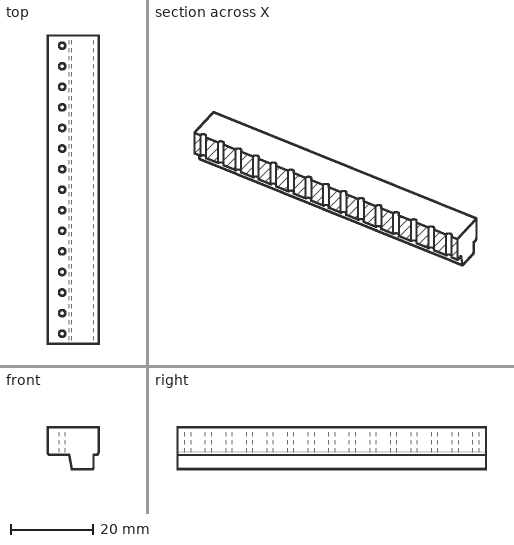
import cadquery as cq

LENGTH = 75.0
WIDTH = 12.4
HEIGHT = 10.3

BODY_HEIGHT = 6.8
LEFT_CORNER_RADIUS = 0.5
RIGHT_CORNER_RADIUS = 0.7

FOOT_ROOT_LEFT = 5.2
FOOT_TIP_LEFT = 5.83
FOOT_RIGHT = 11.15
FOOT_CORNER_RADIUS = 0.5

HOLE_COUNT = 15
HOLE_PITCH = LENGTH / HOLE_COUNT
HOLE_DIAMETER = 1.5
HOLE_X = 3.5


def make_bar():
    """Constant cross-section: a wide body above a foot with a sloped left flank."""
    shelf_z = HEIGHT - BODY_HEIGHT
    return (
        cq.Workplane("XZ")
        .moveTo(0, HEIGHT)
        .lineTo(0, shelf_z + LEFT_CORNER_RADIUS)
        .radiusArc((LEFT_CORNER_RADIUS, shelf_z), -LEFT_CORNER_RADIUS)
        .lineTo(FOOT_ROOT_LEFT, shelf_z)
        .lineTo(FOOT_TIP_LEFT, 0)
        .lineTo(FOOT_RIGHT - FOOT_CORNER_RADIUS, 0)
        .radiusArc((FOOT_RIGHT, FOOT_CORNER_RADIUS), -FOOT_CORNER_RADIUS)
        .lineTo(FOOT_RIGHT, shelf_z)
        .lineTo(WIDTH - RIGHT_CORNER_RADIUS, shelf_z)
        .radiusArc((WIDTH, shelf_z + RIGHT_CORNER_RADIUS), -RIGHT_CORNER_RADIUS)
        .lineTo(WIDTH, HEIGHT)
        .close()
        .extrude(-LENGTH)
    )


def make_hole_row():
    """Vertical cylinders at equal pitch, half a pitch in from each end."""
    centers = [(HOLE_X, (i + 0.5) * HOLE_PITCH) for i in range(HOLE_COUNT)]
    return cq.Workplane("XY").pushPoints(centers).circle(HOLE_DIAMETER / 2).extrude(HEIGHT)


result = make_bar().cut(make_hole_row())